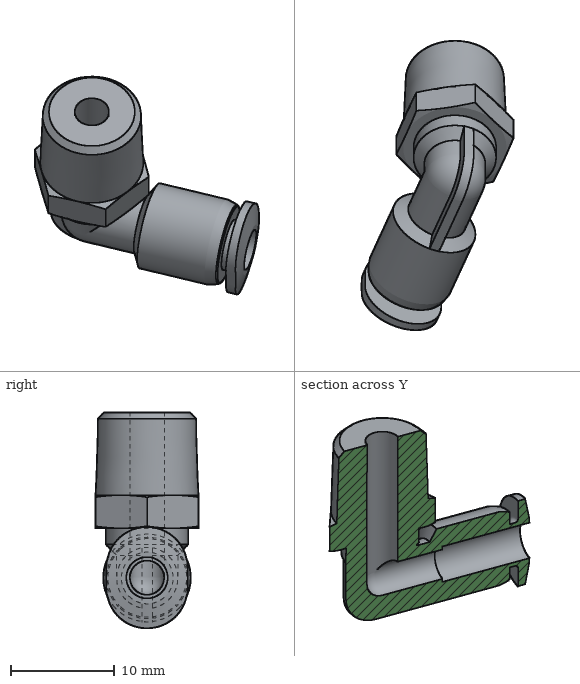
import cadquery as cq
import math


bore_radius = 3.3 / 2
elbow_radius = 2.95

stem_top = 16.0
thread_chamfer = 0.6
thread_top_radius = 4.77
hex_across_flats = 10.0
thread_base_radius = hex_across_flats / 2
hex_top = 8.0
hex_bottom = 4.8
hex_corner_drop = 0.2
collar_radius = 8.0 / 2
collar_bottom = 3.22
collar_cone_height = collar_radius - elbow_radius

body_start = 5.12
body_shoulder = 5.85
body_radius = 8.5 / 2
nose_start = 12.67
nose_edge = 13.45
nose_edge_radius = 4.05
nose_chamfer_start = 13.72
nose_chamfer_radius = 3.95
body_end = 13.85
body_end_radius = 3.8

sleeve_radius = 5 / 2
sleeve_fillet = 0.28
flange_back = 14.72
flange_rim = 15.55
flange_face = 16.0
flange_end_radius = 7.85 / 2
flange_offset = 0.98
flange_half_height = flange_end_radius + flange_offset
tube_radius = 4.0 / 2
tube_stop = 6.53

rib_thickness = 0.98
rib_corner_radius = 3.27


def revolve_about_z(profile):
    """Revolve a closed sketch of (radius, height) points about Z."""
    return profile.close().revolve(360, (0, 0, 0), (0, 1, 0))


def revolve_about_x(profile):
    """Revolve a closed sketch of (position, radius) points about X."""
    return profile.close().revolve(360, (0, 0, 0), (1, 0, 0))


def make_elbow(radius, stem_end, arm_end):
    """Two equal round legs joined by a ball at the origin."""
    stem_leg = cq.Workplane("XY").circle(radius).extrude(stem_end)
    arm_leg = cq.Workplane("YZ").circle(radius).extrude(arm_end)
    return stem_leg.union(arm_leg).union(cq.Workplane("XY").sphere(radius))


def make_stem():
    """Collar with its lower cone, and the tapered thread with its lead chamfer."""
    return revolve_about_z(
        cq.Workplane("XZ")
        .moveTo(0, collar_bottom - collar_cone_height)
        .lineTo(elbow_radius, collar_bottom - collar_cone_height)
        .lineTo(collar_radius, collar_bottom)
        .lineTo(collar_radius, hex_top)
        .lineTo(thread_base_radius, hex_top)
        .lineTo(thread_top_radius, stem_top - thread_chamfer)
        .lineTo(thread_top_radius - thread_chamfer, stem_top)
        .lineTo(0, stem_top)
    )


def make_hex():
    """Hexagon with corners on the X axis, both ends turned to a shallow cone."""
    corner_radius = hex_across_flats / math.sqrt(3)
    flat_radius = hex_across_flats / 2
    prism = (
        cq.Workplane("XY", origin=(0, 0, hex_bottom))
        .polygon(6, 2 * corner_radius)
        .extrude(hex_top - hex_bottom)
    )
    turned_envelope = revolve_about_z(
        cq.Workplane("XZ")
        .moveTo(0, hex_bottom)
        .lineTo(flat_radius, hex_bottom)
        .lineTo(corner_radius, hex_bottom + hex_corner_drop)
        .lineTo(corner_radius, hex_top - hex_corner_drop)
        .lineTo(flat_radius, hex_top)
        .lineTo(0, hex_top)
    )
    return prism.intersect(turned_envelope)


def make_body():
    """Tube socket body with a conical shoulder and a stepped nose."""
    return revolve_about_x(
        cq.Workplane("XZ")
        .moveTo(body_start, 0)
        .lineTo(body_start, elbow_radius)
        .lineTo(body_shoulder, body_radius)
        .lineTo(nose_start, body_radius)
        .lineTo(nose_edge, nose_edge_radius)
        .lineTo(nose_chamfer_start, nose_chamfer_radius)
        .lineTo(body_end, body_end_radius)
        .lineTo(body_end, 0)
    )


def make_sleeve():
    """Release sleeve: round neck, root fillet and an oblong flange with a conical face."""
    fillet_start = flange_back - sleeve_fillet
    fillet_middle = sleeve_fillet * math.sqrt(0.5)
    neck = revolve_about_x(
        cq.Workplane("XZ")
        .moveTo(body_end, 0)
        .lineTo(body_end, sleeve_radius)
        .lineTo(fillet_start, sleeve_radius)
        .threePointArc(
            (fillet_start + fillet_middle, sleeve_radius + sleeve_fillet - fillet_middle),
            (flange_back, sleeve_radius + sleeve_fillet),
        )
        .lineTo(flange_back, 0)
    )
    oblong = (
        cq.Workplane("YZ", origin=(flange_back, 0, 0))
        .slot2D(2 * flange_half_height, 2 * flange_end_radius, 90)
        .extrude(flange_face - flange_back)
    )
    face_envelope = revolve_about_x(
        cq.Workplane("XZ")
        .moveTo(flange_back, 0)
        .lineTo(flange_back, flange_half_height)
        .lineTo(flange_rim, flange_half_height)
        .lineTo(flange_face, sleeve_radius)
        .lineTo(flange_face, 0)
    )
    return neck.union(oblong.intersect(face_envelope))


def make_rib():
    """Flat web from the collar to the body shoulder, rounded at the outer corner."""
    arc_center_x = rib_corner_radius - collar_radius
    arc_center_z = rib_corner_radius - body_radius
    arc_middle = rib_corner_radius * math.sqrt(0.5)
    return (
        cq.Workplane("XZ")
        .moveTo(0, collar_bottom)
        .lineTo(-collar_radius, collar_bottom)
        .lineTo(-collar_radius, arc_center_z)
        .threePointArc(
            (arc_center_x - arc_middle, arc_center_z - arc_middle),
            (arc_center_x, -body_radius),
        )
        .lineTo(body_shoulder, -body_radius)
        .lineTo(body_shoulder, 0)
        .lineTo(0, 0)
        .close()
        .extrude(rib_thickness / 2, both=True)
    )


def make_tube_socket():
    """Bore that takes the tube, from the flange face to the tube stop."""
    return (
        cq.Workplane("YZ", origin=(tube_stop, 0, 0))
        .circle(tube_radius)
        .extrude(flange_face - tube_stop)
    )


solid_fitting = (
    make_elbow(elbow_radius, collar_bottom, body_shoulder)
    .union(make_stem())
    .union(make_hex())
    .union(make_body())
    .union(make_sleeve())
    .union(make_rib())
)
result = (
    solid_fitting
    .cut(make_elbow(bore_radius, stem_top, tube_stop))
    .cut(make_tube_socket())
)